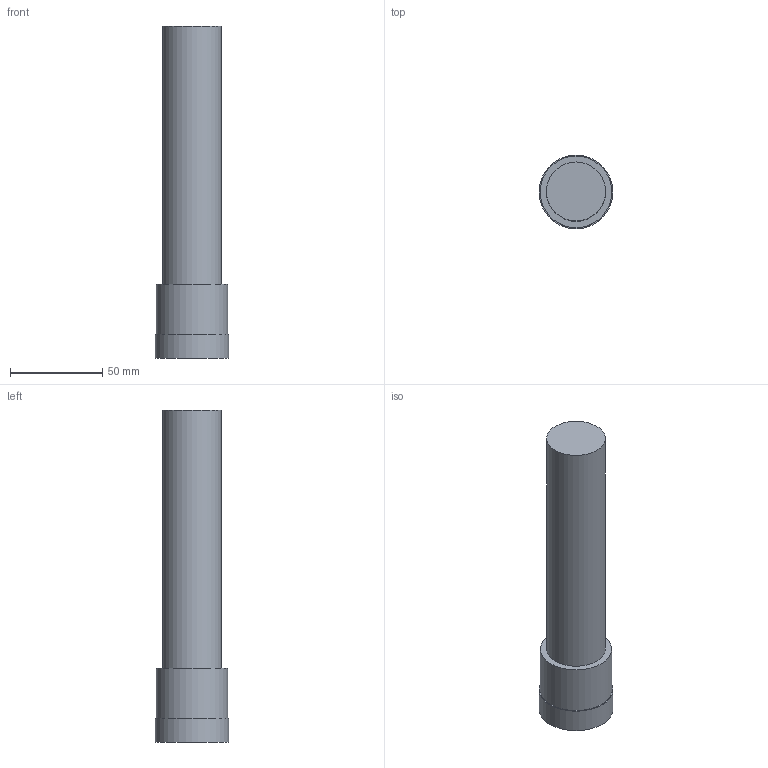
import cadquery as cq

total_length = 180.0
shaft_diameter = 32.0
head_diameter = 38.8
collar_diameter = 40.0
head_length = 40.0
collar_length = 13.0


def cylinder(diameter, bottom, top):
    """Solid cylinder on the Z axis between two heights."""
    return cq.Workplane("XY").workplane(offset=bottom).circle(diameter / 2).extrude(top - bottom)


collar = cylinder(collar_diameter, 0, collar_length)
head = cylinder(head_diameter, collar_length, head_length)
shaft = cylinder(shaft_diameter, head_length, total_length)

result = collar.union(head).union(shaft)